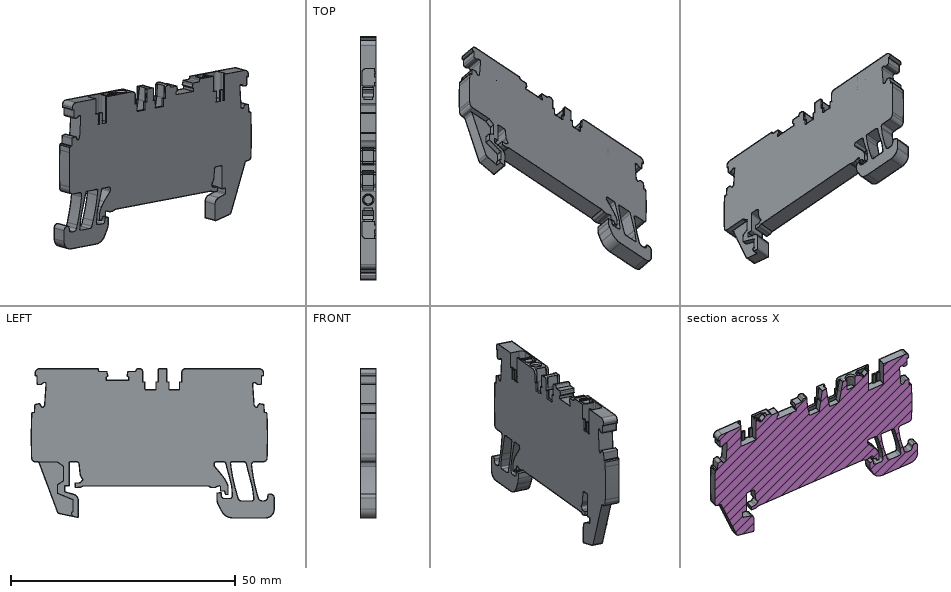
import cadquery as cq
import math

thickness = 3.5
top_z = 33.35
body_half_length = 26.35
wall_end_y = 26.265
wall_bow_radius = 125
wall_bow_corner_y = 2 * body_half_length - wall_end_y
body_bottom_z = 12.53
rail_face_z = 7.14
latch_end_y = -27.88
ledge_z = 32.7
marker_floor_z = 30.77
socket_step_z = 30.4
socket_floor_z = 28.63
foot_recess = 1.1

groove_x = (0.48, 2.95)
groove_extra_depth = 1.0
groove_floor_z = socket_floor_z - groove_extra_depth
socket_groove_sides = (
    (
        [(1.7, top_z), (1.5, socket_step_z), (0.98, groove_floor_z)],
        [(-2.3, top_z), (-1.5, groove_floor_z)],
    ),
    (
        [(-3.5, top_z), (-3.9, socket_step_z), (-4.4, groove_floor_z)],
        [(-7.8, top_z), (-7.3, socket_step_z), (-6.8, groove_floor_z)],
    ),
)

entry_inner_y = 15.4
entry_outer_y = 19.3
entry_x = 0.3
entry_depth = 6.0
entry_outer_radius = 1.05
entry_inner_radius = 0.35
tab_x = 3.13
tab_drop = 3.5
tab_spans = ((15.4, 16.2), (17.4, 18.2), (18.55, 19.3))
inboard_shift = 0.6

pusher_x = (0.48, 2.95)
pusher_length = 2.1
pusher_inner_y = 12.95
pusher_slot_x = (0.82, 2.65)
pusher_slot_inner_y = 12.4
pusher_slot_depth = 0.15
stair_tread = 0.4
stair_rise = 0.4
stair_count = 3

test_hole_y = -9.98
test_hole_radius = 1.0
test_hole_mouth_radius = 1.27
test_hole_mouth_depth = 0.4
test_hole_depth = 3.0
mid_x = thickness / 2


def rounded_outline(points):
    """Closed outline in the YZ plane from (y, z) or (y, z, radius) corners."""
    stretches = []
    for i, corner in enumerate(points):
        y, z = corner[:2]
        radius = corner[2] if len(corner) > 2 else 0
        if not radius:
            stretches.append([(y, z)])
            continue
        before = points[i - 1]
        after = points[(i + 1) % len(points)]
        into = cq.Vector(before[0] - y, before[1] - z).normalized()
        out = cq.Vector(after[0] - y, after[1] - z).normalized()
        half_angle = into.getAngle(out) / 2
        setback = radius / math.tan(half_angle)
        to_arc_middle = radius / math.sin(half_angle) - radius
        vertex = cq.Vector(y, z)
        arc_points = (
            vertex + into * setback,
            vertex + (into + out).normalized() * to_arc_middle,
            vertex + out * setback,
        )
        stretches.append([(p.x, p.y) for p in arc_points])
    outline = cq.Workplane("YZ").moveTo(*stretches[0][-1])
    for stretch in stretches[1:] + stretches[:1]:
        outline = outline.lineTo(*stretch[0])
        if len(stretch) > 1:
            outline = outline.threePointArc(stretch[1], stretch[2])
    return outline.close()


def prism(points, x_start, x_end):
    """Rounded YZ outline extruded between two X positions."""
    return rounded_outline(points).extrude(x_end - x_start).translate((x_start, 0, 0))


def block(x_span, y_span, z_span):
    """Box between the given limits, the limits in either order."""
    spans = [sorted(span) for span in (x_span, y_span, z_span)]
    size = [high - low for low, high in spans]
    return cq.Workplane("XY").box(*size, centered=False).translate([span[0] for span in spans])



end_profile = [
    (wall_end_y, body_bottom_z, 0.9),
    (wall_bow_corner_y, 18.2, wall_bow_radius),
    (wall_end_y, 23.3),
    (26.1, 23.58),
    (25.68, 23.58),
    (25.56, 25.35, 0.1),
    (24.5, 25.55, 0.3),
    (23.9, 24.55, 0.25),
    (23.4, 25.1, 0.2),
    (23.05, 30.25, 0.3),
    (23.6, 30.2, 0.15),
    (24.2, 29.75, 0.3),
    (25.07, 29.75, 0.4),
    (25.07, 31.75),
    (25.5, 31.75, 0.15),
    (25.5, top_z, 1.05),
]

top_profile = [
    (11.4, top_z, 0.15),
    (11.3, ledge_z, 0.3),
    (9.45, ledge_z),
    (9.4, 32.3),
    (9.2, 31.75),
    (9.6, 31.4),
    (9.6, marker_floor_z),
    (4.6, marker_floor_z),
    (4.6, 31.4),
    (5.0, 31.75),
    (4.9, 32.3),
    (4.8, ledge_z),
    (3.15, ledge_z),
    (2.75, top_z, 0.15),
    (1.47, top_z, 0.7),
    (1.47, socket_step_z),
    (0.98, socket_step_z),
    (0.98, socket_floor_z, 0.25),
    (-1.47, socket_floor_z, 0.2),
    (-1.47, socket_step_z),
    (-1.97, socket_step_z),
    (-1.97, top_z, 0.25),
    (-3.93, top_z, 0.25),
    (-3.93, socket_step_z),
    (-4.42, socket_step_z),
    (-4.42, socket_floor_z, 0.2),
    (-6.72, socket_floor_z, 0.2),
    (-6.72, socket_step_z),
    (-7.21, socket_step_z),
    (-7.21, top_z, 0.9),
]

latch_profile = [
    (-22.75, body_bottom_z, 0.58),
    (-23.2, 8.3, 36),
    (-24.5, 3.85, 0.85),
    (-26.3, 3.85, 0.8),
    (-26.45, 5.37, 0.45),
    (latch_end_y, 5.37, 0.9),
    (latch_end_y, 0, 2.0),
    (-16.9, 0, 2.8),
    (-15.05, 3.6, 3),
    (-15.05, 5.6),
    (-16.05, 5.68, 0.2),
    (-16.1, 4.37, 0.7),
    (-18.53, 4.37, 0.6),
    (-18.35, 7.2, 6),
    (-16.95, body_bottom_z, 0.5),
    (-14.5, body_bottom_z, 0.4),
    (-14.5, 11.6, 0.4),
    (-16.75, 8.9, 6),
    (-17.57, 7.3, 1.5),
    (-17.57, 5.23),
    (-17.0, 5.23),
    (-16.75, 6.0, 0.15),
    (-15.87, 6.0),
    (-15.87, 7.2, 0.2),
    (-15.3, 7.1, 0.3),
    (-14.7, 6.8, 0.5),
    (-13.8, 6.8, 0.5),
    (-13.1, rail_face_z),
]

fixed_foot_profile = [
    (14.75, rail_face_z),
    (15.4, 6.83, 0.5),
    (16.59, 6.8, 0.25),
    (16.59, 7.85),
    (15.5, 7.85, 0.5),
    (14.85, 8.5, 0.15),
    (15.45, 9.6, 1),
    (15.75, body_bottom_z, 0.5),
    (17.86, body_bottom_z, 0.2),
    (17.86, 7.17, 0.15),
    (18.87, 7.17),
    (18.87, 5.88, 0.25),
    (15.85, 5.0, 1.4),
    (15.85, 0.1, 0.2),
    (20.4, 1.05, 0.7),
    (24.7, body_bottom_z, 0.4),
]

latch_window = [
    (-18.08, body_bottom_z, 0.3),
    (-21.5, body_bottom_z, 0.5),
    (-23.0, 6.7, 12),
    (-23.35, 3.85, 0.4),
    (-20.0, 3.85, 0.6),
    (-18.65, 8.3, 36),
]

foot_web = [
    (body_half_length, body_bottom_z),
    (20.55, body_bottom_z),
    (19.15, 11.54),
    (19.15, 8.32),
    (20.48, 7.47),
    (20.48, 5.53),
    (17.04, 4.1),
    (17.04, 1.47),
    (17.4, 1.16),
    (17.05, 0.0),
    (body_half_length, 0.0),
]


def side_plate():
    minus_y_end = [(-corner[0], *corner[1:]) for corner in end_profile]
    outline = end_profile + top_profile + minus_y_end[::-1] + latch_profile + fixed_foot_profile
    plate = prism(outline, 0, thickness)
    plate = plate.cut(prism(latch_window, 0, thickness))
    return plate.cut(prism(foot_web, 0, foot_recess))




def socket_groove(plus_y_side, minus_y_side):
    """Tapered pocket down a socket; each side lists its (y, z) points from the top down."""
    return prism(plus_y_side + minus_y_side[::-1], *groove_x)


def wire_entry(side, shift):
    """Funnel pocket open towards +X with tabs left on the open side; `side` is +1 or -1 for its end."""
    inner, outer = entry_inner_y - shift, entry_outer_y - shift
    floor_z = top_z - entry_depth
    span = (side * inner, side * outer)
    outer_edge, inner_edge = (">Y", "<Y") if side > 0 else ("<Y", ">Y")
    pocket = block((entry_x, thickness), span, (floor_z, top_z))
    pocket = pocket.edges("|Z").edges("<X").edges(outer_edge).fillet(entry_outer_radius)
    pocket = pocket.edges("|Z and (not >X)").edges(inner_edge).fillet(entry_inner_radius)
    plus_y_tab = tab_spans[-1] if side > 0 else tab_spans[0]
    for tab in tab_spans:
        tab_top_z = top_z if tab == plus_y_tab else top_z - tab_drop
        tab_span = [side * (y - shift) for y in tab]
        pocket = pocket.cut(block((tab_x, thickness), tab_span, (floor_z, tab_top_z)))
    return pocket


def pusher(side, shift):
    """Release pusher: stairs going down towards -Y, and a shallow slot from end to end."""
    minus_y_end = min(side * (pusher_inner_y - shift), side * (pusher_inner_y + pusher_length - shift))
    plus_y_end = minus_y_end + pusher_length
    stairs = [(minus_y_end, top_z), (plus_y_end, top_z)]
    for step in range(stair_count):
        tread_y = plus_y_end - step * stair_tread
        tread_z = top_z - (step + 1) * stair_rise
        stairs += [(tread_y, tread_z), (tread_y - stair_tread, tread_z)]
    stairs.append((minus_y_end, top_z - stair_rise))
    slot_span = (side * (pusher_slot_inner_y - shift), side * (entry_inner_y - shift))
    slot = block(pusher_slot_x, slot_span, (top_z - pusher_slot_depth, top_z))
    return prism(stairs, *pusher_x).union(slot)


def test_hole():
    """Blind hole with a conical mouth."""
    half_section = [
        (0, 0),
        (test_hole_mouth_radius, 0),
        (test_hole_radius, -test_hole_mouth_depth),
        (test_hole_radius, -test_hole_depth),
        (0, -test_hole_depth),
    ]
    hole = cq.Workplane("XZ").polyline(half_section).close().revolve(360, (0, 0), (0, 1))
    return hole.translate((mid_x, test_hole_y, top_z))


result = side_plate()
for plus_y_side, minus_y_side in socket_groove_sides:
    result = result.cut(socket_groove(plus_y_side, minus_y_side))
for side, shift in ((1, 0), (-1, inboard_shift)):
    result = result.cut(wire_entry(side, shift))
    result = result.cut(pusher(side, shift))
result = result.cut(test_hole())